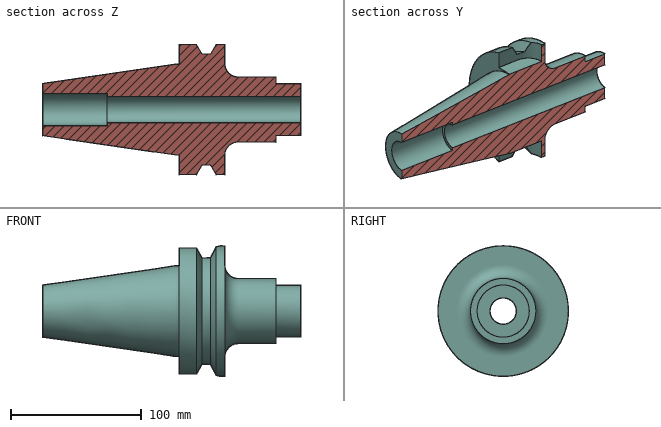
import cadquery as cq
import math

total_length = 197.7
taper_length = 101.8
flange_start = 104.5
flange_end = flange_start + 35.0
tip_length = 19.0
tip_start = total_length - tip_length

taper_large_dia = 69.8
taper_ratio = 7 / 24
taper_small_dia = taper_large_dia - taper_ratio * taper_length
flange_dia = 100.0
neck_dia = 50.0
tip_dia = 40.0
neck_fillet = 10.0

groove_start = flange_start + 13.2
groove_floor_dia = 85.5
groove_floor_width = 6.5
groove_depth = (flange_dia - groove_floor_dia) / 2
flank_run = groove_depth * math.tan(math.radians(30))

slot_width = 25.7
slot_length = 31.5
slot_floor_height = 35.4

through_bore_dia = 20.0
entry_bore_dia = 24.5
entry_bore_depth = 49.5


def revolved_body():
    """Taper, grooved flange, filleted neck and tip, turned about X."""
    groove_floor_start = groove_start + flank_run
    groove_floor_end = groove_floor_start + groove_floor_width
    neck_radius = neck_dia / 2
    fillet_inset = neck_fillet * (1 - math.sqrt(0.5))
    return (
        cq.Workplane("XY")
        .moveTo(0, 0)
        .lineTo(0, taper_small_dia / 2)
        .lineTo(taper_length, taper_large_dia / 2)
        .lineTo(flange_start, taper_large_dia / 2)
        .lineTo(flange_start, flange_dia / 2)
        .lineTo(groove_start, flange_dia / 2)
        .lineTo(groove_floor_start, groove_floor_dia / 2)
        .lineTo(groove_floor_end, groove_floor_dia / 2)
        .lineTo(groove_floor_end + flank_run, flange_dia / 2)
        .lineTo(flange_end, flange_dia / 2)
        .lineTo(flange_end, neck_radius + neck_fillet)
        .threePointArc(
            (flange_end + fillet_inset, neck_radius + fillet_inset),
            (flange_end + neck_fillet, neck_radius),
        )
        .lineTo(tip_start, neck_radius)
        .lineTo(tip_start, tip_dia / 2)
        .lineTo(total_length, tip_dia / 2)
        .lineTo(total_length, 0)
        .close()
        .revolve(360, (0, 0, 0), (1, 0, 0))
    )


def drive_slot(side):
    """Slot cutter, open at the taper side; side is +1 above or -1 below."""
    half_width = slot_width / 2
    slot_end = flange_start + slot_length
    arc_start = slot_end - half_width
    return (
        cq.Workplane("XY", origin=(0, 0, side * slot_floor_height))
        .moveTo(flange_start, -half_width)
        .lineTo(arc_start, -half_width)
        .threePointArc((slot_end, 0), (arc_start, half_width))
        .lineTo(flange_start, half_width)
        .close()
        .extrude(side * flange_dia / 2)
    )


def axial_bore(diameter, depth):
    """Cylinder along X from the small end of the taper."""
    return cq.Workplane("YZ").circle(diameter / 2).extrude(depth)


result = revolved_body()
for side in (1, -1):
    result = result.cut(drive_slot(side))
result = result.cut(axial_bore(through_bore_dia, total_length))
result = result.cut(axial_bore(entry_bore_dia, entry_bore_depth))